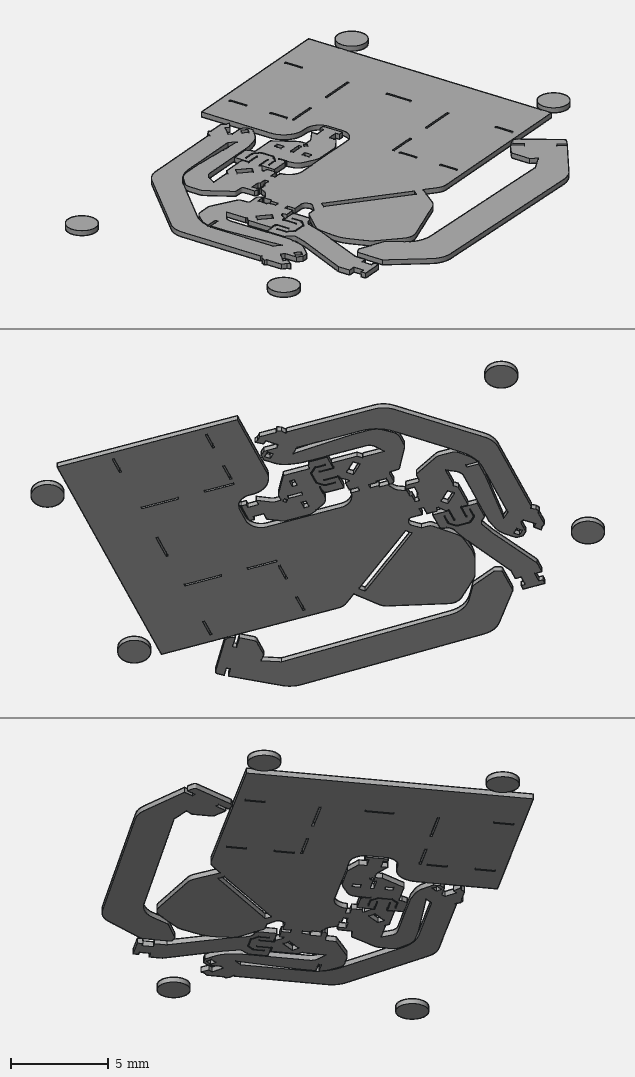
import cadquery as cq
import math

THICKNESS = 0.3
SLIT = 0.05
GAP = 0.08
SLOT = 0.1

DISC_DIAMETER = 1.7
DISC_PITCH_X = 12.5
DISC_PITCH_Y = 25.0
DISC_CENTER_X = -1.8

PANEL_LEFT = -9.88
PANEL_WIDTH = 15.03
PANEL_TOP = 11.27
PANEL_BOTTOM = 1.34
PANEL_RIGHT = PANEL_LEFT + PANEL_WIDTH
PANEL_MID = PANEL_LEFT + PANEL_WIDTH / 2

UPPER_SLOT_Y = 8.35
LOWER_SLOT_Y = 3.23
OUTER_SLOT_OFFSET = 6.51
INNER_SLOT_OFFSET = 4.0
UPRIGHT_SLOT_OFFSET = 3.1
SIDE_SLOT_LENGTH = 1.05
MIDDLE_SLOT_LENGTH = 1.5
LONG_UPRIGHT_LENGTH = 2.03
SHORT_UPRIGHT_LENGTH = 1.6

RECESS_LEFT = -4.38
RECESS_RIGHT = -1.85
RECESS_TOP = 3.63
RECESS_BOTTOM = -2.15
RECESS_RADIUS = 0.85
RECESS_MOUTH_RADIUS = 1.23

FIN_SLOT_CENTER = (2.72, -2.0)
FIN_SLOT_LENGTH = 4.97
FIN_SLOT_WIDTH = 0.37
FIN_SLOT_ANGLE = 50

MIRROR_OFFSET = 2.35

NECK_LEFT = -2.9
NECK_RIGHT = -2.67
NECK_TOP = -2.65
NECK_BOTTOM = -3.23
KEYHOLE_LEFT = -3.02
KEYHOLE_RIGHT = -2.55
KEYHOLE_SHOULDER = -3.7
KEYHOLE_SLOPE = 0.08
KEYHOLE_BOTTOM = -4.25
HEEL_X = -2.48
HEEL_Y = -4.2

ARM_OUTER_X = -8.12
ARM_INNER_X = -6.84
ARM_OUTER_SUM = -14.2
ARM_INNER_SUM = -12.07
ARM_OUTER_RADIUS = 1.34
ARM_INNER_RADIUS = 2.14

STRAP_GAP = 0.1
STRAP_RIGHT = -5.7
STRAP_TOP = -0.53
STRAP_TOP_LEFT = -6.5
PALM_LEFT = -5.13

HINGE_LEFT = STRAP_RIGHT + GAP
HINGE_RIGHT = -3.15
HINGE_TOP = -0.83
HINGE_CHAMFER = 0.15
HINGE_BOTTOM = -1.98
TONGUE_LEFT = -4.73
TONGUE_RIGHT = -4.05
TONGUE_SLIT_TOP = -1.2
LOOP_LEFT = -5.13
LOOP_RIGHT = -3.65
LOOP_TOP = -0.75
LOOP_FOOT = -1.68
LOOP_CHAMFER = 0.35

PALM_WINDOW_CENTER = (-4.35, -2.95)
PALM_WINDOW_SIZE = (0.85, 0.4)
EYE_CENTER = (-6.8, 0.77)
EYE_SIZE = (0.37, 0.32)
DIAGONAL = 45

RELIEF_SLOT_CENTER = (-2.43, -8.78)
RELIEF_SLOT_SIZE = (0.15, 0.72)

PEG_HEAD_WIDTH = 1.2
PEG_HEAD_LENGTH = 0.3
PEG_STEM_WIDTH = 0.75
PEG_STEM_LENGTH = 0.6
PEG_OVERLAP = 0.13

UPPER_PEG_ROOT = (-3.18, 2.6)
FORE_PEG_ROOT = (6.35, -8.46)
FINGER_WINDOW_SIZE = (0.43, 0.27)
FINGER_WINDOW_Y = 0.35
FINGER_WINDOWS_X = (-4.4, -2.7)
FINGER_SLOT_CENTER = (-3.52, 0.6)
FINGER_SLOT_SIZE = (0.2, 0.77)
FINGER_NICK_CENTER = (-3.35, 1.2)
FINGER_NICK_SIZE = 0.2
THUMB_SLOT_CENTERS = ((7.7, 8.62), (5.65, 7.35))
THUMB_SLOT_WIDTH = 0.21
THUMB_SLOT_LENGTH = 0.75
THUMB_SLOT_ANGLE = 33


def toward(start, end, distance):
    """Point at a distance from start on the line to end."""
    span = math.dist(start, end)
    return tuple(s + (e - s) * distance / span for s, e in zip(start, end))


def sheet(*corners):
    """Flat shape from corners (x, y), or (x, y, radius) where the corner is round."""
    path = None
    count = len(corners)
    for i, corner in enumerate(corners):
        point = corner[:2]
        before = corners[i - 1][:2]
        after = corners[(i + 1) % count][:2]
        radius = corner[2] if len(corner) == 3 else 0
        if not radius:
            path = path.lineTo(*point) if path else cq.Workplane("XY").moveTo(*point)
            continue
        angle_in = math.atan2(before[1] - point[1], before[0] - point[0])
        angle_out = math.atan2(after[1] - point[1], after[0] - point[0])
        half = abs(math.remainder(angle_out - angle_in, 2 * math.pi)) / 2
        start = toward(point, before, radius / math.tan(half))
        end = toward(point, after, radius / math.tan(half))
        middle_of_chord = tuple((s + e) / 2 for s, e in zip(start, end))
        crown = toward(point, middle_of_chord, radius / math.sin(half) - radius)
        path = path.lineTo(*start) if path else cq.Workplane("XY").moveTo(*start)
        path = path.threePointArc(crown, end)
    return path.close().extrude(THICKNESS)


def box(left, right, bottom, top):
    """Upright rectangle given by its sides."""
    return sheet((left, bottom), (right, bottom), (right, top), (left, top))


def bar(center, length, width, angle=0):
    """Rectangle about a center, with its length turned to an angle."""
    turned = cq.Workplane("XY").rect(length, width).extrude(THICKNESS)
    return turned.rotate((0, 0, 0), (0, 0, 1), angle).translate((*center, 0))


def peg(root, angle):
    """T-shaped peg that grows from its root along an angle."""
    stem = box(-PEG_OVERLAP, PEG_STEM_LENGTH, -PEG_STEM_WIDTH / 2, PEG_STEM_WIDTH / 2)
    head_end = PEG_STEM_LENGTH + PEG_HEAD_LENGTH
    head = box(PEG_STEM_LENGTH, head_end, -PEG_HEAD_WIDTH / 2, PEG_HEAD_WIDTH / 2)
    return stem.union(head).rotate((0, 0, 0), (0, 0, 1), angle).translate((*root, 0))


def mirrored(shape):
    """Copy of a shape reflected across the line y = x - MIRROR_OFFSET."""
    return shape.mirror(cq.Vector(1, -1, 0), (MIRROR_OFFSET, 0, 0))


def panel_slots():
    slots = bar((PANEL_MID, UPPER_SLOT_Y), MIDDLE_SLOT_LENGTH, SLOT)
    for side in (-1, 1):
        outer_x = PANEL_MID + side * OUTER_SLOT_OFFSET
        inner_x = PANEL_MID + side * INNER_SLOT_OFFSET
        upright_x = PANEL_MID + side * UPRIGHT_SLOT_OFFSET
        long_y = UPPER_SLOT_Y - (SLOT + LONG_UPRIGHT_LENGTH) / 2
        short_y = LOWER_SLOT_Y + SHORT_UPRIGHT_LENGTH / 2
        slots = slots.union(bar((outer_x, UPPER_SLOT_Y), SIDE_SLOT_LENGTH, SLOT))
        slots = slots.union(bar((outer_x, LOWER_SLOT_Y), SIDE_SLOT_LENGTH, SLOT))
        slots = slots.union(bar((inner_x, LOWER_SLOT_Y), SIDE_SLOT_LENGTH, SLOT))
        slots = slots.union(bar((upright_x, long_y), SLOT, LONG_UPRIGHT_LENGTH))
        slots = slots.union(bar((upright_x, short_y), SLOT, SHORT_UPRIGHT_LENGTH))
    return slots


def make_panel():
    lower_heel = (HEEL_Y + MIRROR_OFFSET, HEEL_X - MIRROR_OFFSET)
    lower_neck_y = NECK_RIGHT - MIRROR_OFFSET
    outline = sheet(
        (PANEL_LEFT, PANEL_TOP),
        (PANEL_RIGHT, PANEL_TOP),
        (PANEL_RIGHT, 1.23, 0.8),
        (4.45, 0.4),
        (5.85, -0.67, 0.8),
        (7.02, -4.35, 0.8),
        (5.47, -5.9, 1.07),
        (3.9, -6.5, 2.14),
        (2.38, -6.33, 0.8),
        (1.07, -5.13, 0.27),
        (1.07, -4.62),
        (0.6, -4.09, 0.27),
        (0.15, -4.27, 0.27),
        (0.15, lower_neck_y),
        (lower_heel[0], lower_neck_y),
        lower_heel,
        (-2.05, -4.4, 0.53),
        (HEEL_X, HEEL_Y),
        (NECK_RIGHT, HEEL_Y),
        (NECK_RIGHT, RECESS_BOTTOM),
        (RECESS_RIGHT, RECESS_BOTTOM, RECESS_RADIUS),
        (RECESS_RIGHT, RECESS_TOP, RECESS_RADIUS),
        (RECESS_LEFT, RECESS_TOP, RECESS_RADIUS),
        (RECESS_LEFT, PANEL_BOTTOM, RECESS_MOUTH_RADIUS),
        (PANEL_LEFT, PANEL_BOTTOM),
    )
    fin_slot = bar(FIN_SLOT_CENTER, FIN_SLOT_LENGTH, FIN_SLOT_WIDTH, FIN_SLOT_ANGLE)
    keyhole = box(KEYHOLE_LEFT, KEYHOLE_RIGHT, KEYHOLE_BOTTOM, KEYHOLE_SHOULDER)
    outline = outline.cut(keyhole).cut(mirrored(keyhole))
    return outline.cut(panel_slots()).cut(fin_slot)


def make_arm_half():
    outer_middle = ((ARM_OUTER_SUM + MIRROR_OFFSET) / 2, (ARM_OUTER_SUM - MIRROR_OFFSET) / 2)
    inner_middle = ((ARM_INNER_SUM + MIRROR_OFFSET) / 2, (ARM_INNER_SUM - MIRROR_OFFSET) / 2)
    return sheet(
        (ARM_OUTER_X, -0.7),
        (-8.05, -0.65),
        (-8.28, -0.48),
        (-8.38, -0.27),
        (-8.28, -0.2),
        (-8.28, 0.72),
        (-8.06, 0.9),
        (-7.98, 1.1),
        (-7.7, 0.72),
        (-7.88, 0.53),
        (-7.37, 0.05),
        (-7.18, 0.2),
        (-7.18, 0.9),
        (-6.95, 1.15),
        (-6.57, 1.15),
        (-5.87, 0.43, 1.34),
        (STRAP_RIGHT, STRAP_TOP),
        (STRAP_TOP_LEFT, STRAP_TOP),
        (-6.45, -0.43),
        (ARM_INNER_X, -0.77),
        (ARM_INNER_X, ARM_INNER_SUM - ARM_INNER_X, ARM_INNER_RADIUS),
        inner_middle,
        outer_middle,
        (ARM_OUTER_X, ARM_OUTER_SUM - ARM_OUTER_X, ARM_OUTER_RADIUS),
    )


def make_strap_and_palm():
    strap_left = ARM_INNER_X + STRAP_GAP
    return sheet(
        (STRAP_TOP_LEFT, STRAP_TOP),
        (STRAP_RIGHT, STRAP_TOP),
        (STRAP_RIGHT, -4.43, 0.53),
        (-4.97, -4.89),
        (-4.97, -3.7),
        (-4.9, -3.65),
        (PALM_LEFT, -3.45),
        (PALM_LEFT, HINGE_BOTTOM - SLIT),
        (-3.9, HINGE_BOTTOM - SLIT),
        (-3.63, -2.38),
        (-3.52, -2.4),
        (-3.47, RECESS_BOTTOM),
        (NECK_LEFT, RECESS_BOTTOM),
        (NECK_LEFT, NECK_TOP),
        (NECK_RIGHT, NECK_TOP),
        (NECK_RIGHT, NECK_BOTTOM),
        (NECK_LEFT, NECK_BOTTOM),
        (NECK_LEFT, KEYHOLE_SHOULDER + KEYHOLE_SLOPE),
        (KEYHOLE_LEFT, KEYHOLE_SHOULDER),
        (KEYHOLE_LEFT, KEYHOLE_BOTTOM),
        (KEYHOLE_RIGHT, KEYHOLE_BOTTOM),
        (KEYHOLE_RIGHT, -4.38),
        (-2.67, -4.55),
        (-3.42, -4.55, 0.13),
        (-3.45, -5.13, 0.13),
        (-4.95, -6.0, 0.53),
        (-5.95, -6.0, 0.53),
        (strap_left, -5.13, 1.07),
        (strap_left, -3.75),
    )


def make_hinge():
    block = sheet(
        (HINGE_LEFT, HINGE_BOTTOM),
        (HINGE_RIGHT, HINGE_BOTTOM),
        (HINGE_RIGHT, HINGE_TOP - HINGE_CHAMFER),
        (HINGE_RIGHT - HINGE_CHAMFER, HINGE_TOP),
        (HINGE_LEFT + 2 * HINGE_CHAMFER, HINGE_TOP),
        (HINGE_LEFT, HINGE_TOP - HINGE_CHAMFER),
    )
    tongue_root = box(TONGUE_LEFT, TONGUE_RIGHT, HINGE_BOTTOM - 2 * SLIT, HINGE_BOTTOM)
    return block.union(tongue_root)


def hinge_slits():
    """Slits beside the tongue, and the loop slit around its head."""
    slits = sheet(
        (LOOP_LEFT, LOOP_FOOT),
        (LOOP_LEFT, LOOP_TOP - LOOP_CHAMFER),
        (LOOP_LEFT + LOOP_CHAMFER, LOOP_TOP),
        (LOOP_RIGHT - LOOP_CHAMFER, LOOP_TOP),
        (LOOP_RIGHT, LOOP_TOP - LOOP_CHAMFER),
        (LOOP_RIGHT, LOOP_FOOT),
        (LOOP_RIGHT - SLIT, LOOP_FOOT),
        (LOOP_RIGHT - SLIT, LOOP_TOP - LOOP_CHAMFER - SLIT / 2),
        (LOOP_RIGHT - LOOP_CHAMFER - SLIT / 2, LOOP_TOP - SLIT),
        (LOOP_LEFT + LOOP_CHAMFER + SLIT / 2, LOOP_TOP - SLIT),
        (LOOP_LEFT + SLIT, LOOP_TOP - LOOP_CHAMFER - SLIT / 2),
        (LOOP_LEFT + SLIT, LOOP_FOOT),
    )
    for x in (TONGUE_LEFT, TONGUE_RIGHT):
        slits = slits.union(box(x - SLIT / 2, x + SLIT / 2, HINGE_BOTTOM, TONGUE_SLIT_TOP))
    return slits


def make_hand():
    hand = make_arm_half().union(make_strap_and_palm()).union(make_hinge())
    hand = hand.cut(bar(PALM_WINDOW_CENTER, *PALM_WINDOW_SIZE, DIAGONAL))
    return hand.cut(bar(EYE_CENTER, *EYE_SIZE, DIAGONAL))


def make_upper_finger():
    finger = sheet(
        (-5.13, HINGE_TOP - SLIT),
        (-5.13, 0.61),
        (-3.85, 1.4),
        (-3.45, 1.4),
        (-3.45, 1.82, 0.27),
        (-3.9, 2.6),
        (-2.38, 2.6),
        (-1.92, 1.82),
        (-1.92, 0.27, 0.8),
        (-2.5, -0.75, 0.53),
        (-3.35, HINGE_TOP - SLIT),
    )
    for x in FINGER_WINDOWS_X:
        finger = finger.cut(bar((x, FINGER_WINDOW_Y), *FINGER_WINDOW_SIZE))
    finger = finger.cut(bar(FINGER_SLOT_CENTER, *FINGER_SLOT_SIZE))
    finger = finger.cut(bar(FINGER_NICK_CENTER, FINGER_NICK_SIZE, FINGER_NICK_SIZE, DIAGONAL))
    return finger.union(peg(UPPER_PEG_ROOT, 90))


def make_fore_finger():
    hinge_upper = HINGE_RIGHT - MIRROR_OFFSET
    hinge_lower = HINGE_LEFT - MIRROR_OFFSET
    finger = sheet(
        (1.23, hinge_upper),
        (1.3, hinge_upper),
        (1.68, -6.1, 0.53),
        (2.62, -6.4),
        (5.71, -7.77),
        (6.35, -7.77),
        (6.35, -9.25),
        (5.65, -9.25),
        (2.75, -7.9),
        (1.85, -7.58, 0.27),
        (1.45, hinge_lower),
        (1.23, hinge_lower),
    )
    return finger.union(peg(FORE_PEG_ROOT, 0))


def make_frame():
    """Panel, both hands and both fingers, joined by the bending necks and hinges."""
    hand = make_hand()
    frame = make_panel().union(hand).union(mirrored(hand))
    frame = frame.union(make_upper_finger()).union(make_fore_finger())
    slits = hinge_slits()
    relief_slot = bar(RELIEF_SLOT_CENTER, *RELIEF_SLOT_SIZE)
    root_slit = box(LOOP_RIGHT, HINGE_RIGHT, HINGE_TOP - SLIT / 2, HINGE_TOP + SLIT / 2)
    return frame.cut(slits).cut(mirrored(slits)).cut(relief_slot).cut(root_slit)


def make_thumb():
    outline = sheet(
        (5.2, 7.64),
        (5.3, 7.82),
        (7.45, 9.18, 0.13),
        (7.77, 8.8),
        (9.85, 5.87, 1.6),
        (9.65, -5.45, 1.34),
        (7.13, -7.35),
        (5.55, -7.35, 0.13),
        (5.42, -7.0, 0.13),
        (6.05, -5.55, 0.27),
        (7.65, -4.57, 1.6),
        (7.88, 5.7),
        (7.42, 6.65),
        (7.08, 6.35),
        (5.95, 6.35, 0.27),
        (5.45, 7.02),
        (5.29, 7.35),
    )
    for center in THUMB_SLOT_CENTERS:
        outline = outline.cut(bar(center, THUMB_SLOT_LENGTH, THUMB_SLOT_WIDTH, THUMB_SLOT_ANGLE))
    return outline


def make_disc(x, y):
    return cq.Workplane("XY").center(x, y).circle(DISC_DIAMETER / 2).extrude(THICKNESS)


frame = make_frame()
thumb = make_thumb()
discs = []
for side_x in (-1, 1):
    for side_y in (-1, 1):
        disc_x = DISC_CENTER_X + side_x * DISC_PITCH_X / 2
        discs.append(make_disc(disc_x, side_y * DISC_PITCH_Y / 2).val())

result = cq.Compound.makeCompound([*frame.vals(), *thumb.vals(), *discs])